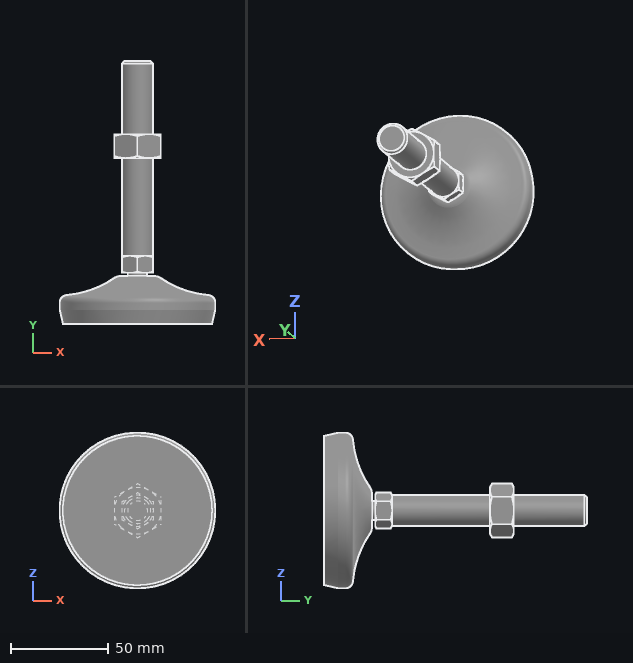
import cadquery as cq
import math

total_length = 135.0

pad_diameter = 80.0
sole_diameter = 76.7
taper_height = 7.3
rim_top = 11.0
shoulder_diameter = 72.1
shoulder_height = 15.0
slope_mid_radius = 21.5
slope_mid_height = 18.5
collar_diameter = 22.7
collar_height = 24.0
pad_top_diameter = 17.0
pad_height = 24.7

neck_diameter = 10.0
neck_top = 26.2
rod_diameter = 16.0
rod_end_chamfer = 1.4

stud_hex_flats = rod_diameter
stud_hex_height = 8.8
nut_flats = 24.0
nut_height = 12.3
nut_start = 85.2
hex_chamfer_angle = 30.0


def make_pad():
    """Revolved pad with a tapered sole, a rounded rim and a concave slope."""
    round_width = (collar_diameter - pad_top_diameter) / 2
    round_drop = pad_height - collar_height
    collar_round_radius = (round_width**2 + round_drop**2) / (2 * round_drop)
    profile = (
        cq.Workplane("XY")
        .lineTo(sole_diameter / 2, 0)
        .lineTo(pad_diameter / 2, taper_height)
        .lineTo(pad_diameter / 2, rim_top)
        .tangentArcPoint((shoulder_diameter / 2, shoulder_height), relative=False)
        .threePointArc((slope_mid_radius, slope_mid_height), (collar_diameter / 2, collar_height))
        .radiusArc((pad_top_diameter / 2, pad_height), -collar_round_radius)
        .lineTo(0, pad_height)
        .close()
    )
    return profile.revolve(360, (0, 0, 0), (0, 1, 0))


def make_stud():
    """Revolved rod with a narrow cylindrical neck at the pad and a chamfered free end."""
    rod_radius = rod_diameter / 2
    profile = (
        cq.Workplane("XY")
        .moveTo(0, pad_height)
        .lineTo(neck_diameter / 2, pad_height)
        .lineTo(neck_diameter / 2, neck_top + stud_hex_height / 2)
        .lineTo(rod_radius, neck_top + stud_hex_height / 2)
        .lineTo(rod_radius, total_length - rod_end_chamfer)
        .lineTo(rod_radius - rod_end_chamfer, total_length)
        .lineTo(0, total_length)
        .close()
    )
    return profile.revolve(360, (0, 0, 0), (0, 1, 0))


def make_hex(flats, height, start):
    """Hexagon with corners on the Z axis and conically chamfered ends."""
    flat_radius = flats / 2
    corner_radius = flat_radius / math.cos(math.radians(30))
    chamfer_height = (corner_radius - flat_radius) * math.tan(math.radians(hex_chamfer_angle))
    end = start + height
    corners = [
        (
            corner_radius * math.sin(math.radians(60 * i)),
            corner_radius * math.cos(math.radians(60 * i)),
        )
        for i in range(6)
    ]
    prism = (
        cq.Workplane("XZ", origin=(0, start, 0))
        .polyline(corners)
        .close()
        .extrude(-height)
    )
    envelope = (
        cq.Workplane("XY")
        .moveTo(0, start)
        .lineTo(flat_radius, start)
        .lineTo(corner_radius, start + chamfer_height)
        .lineTo(corner_radius, end - chamfer_height)
        .lineTo(flat_radius, end)
        .lineTo(0, end)
        .close()
        .revolve(360, (0, 0, 0), (0, 1, 0))
    )
    return prism.intersect(envelope)


stud_hex = make_hex(stud_hex_flats, stud_hex_height, neck_top)
nut = make_hex(nut_flats, nut_height, nut_start)
result = make_pad().union(make_stud()).union(stud_hex).union(nut)